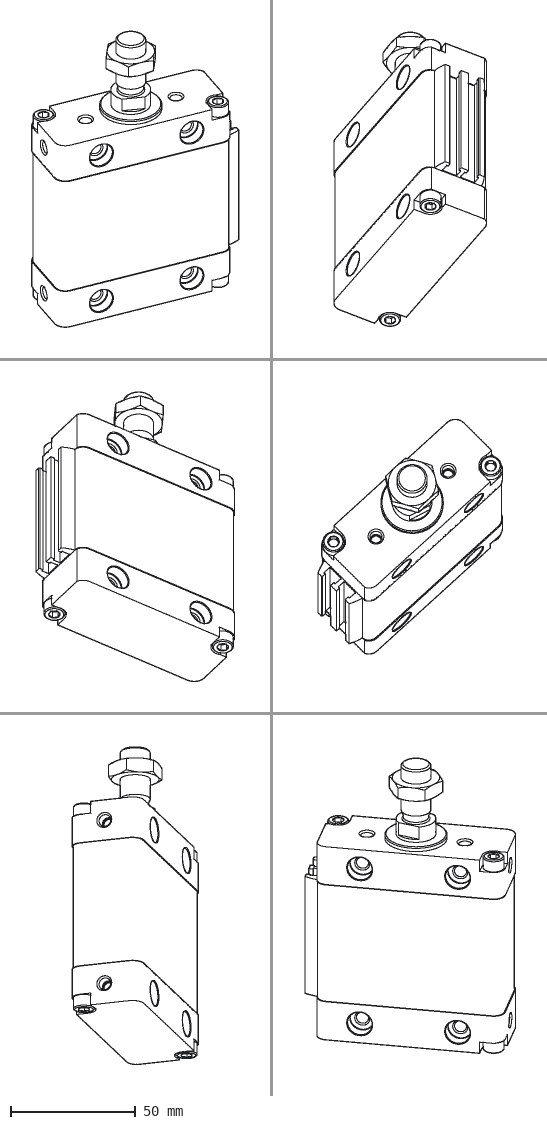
import cadquery as cq
import math

TOTAL_HEIGHT = 119.0

CAP_WIDTH = 30.0
CAP_LENGTH = 77.0
CAP_TRIM = 0.5
CAP_HEIGHT = 17.0
CORNER_RADIUS = 4.8

TUBE_HEIGHT = 52.0
TUBE_INSET = 0.42
BODY_TOP = 2 * CAP_HEIGHT + TUBE_HEIGHT
TUBE_FACE_Y = CAP_LENGTH / 2 - TUBE_INSET

TOTAL_LENGTH = 82.0
RAIL_TOP_Y = TOTAL_LENGTH - CAP_LENGTH / 2
PAD_HEIGHT = 0.4
RAIL_HEIGHT = RAIL_TOP_Y - TUBE_FACE_Y
HOOK_HEIGHT = 1.8
CENTRE_STEM_WIDTH = 1.8
CENTRE_HEAD_WIDTH = 3.3
SIDE_STEM_X = 7.4
SIDE_HOOK_X = 6.7
SIDE_TOP_X = 9.0
SIDE_BASE_X = 11.0
SIDE_BULGE = 0.18
SIDE_HOOK_CHAMFER = 0.4

SCREW_HEAD_DIAMETER = 8.5
SCREW_HEAD_CHAMFER = 0.5
SCREW_RECESS_DEPTH = 5.0
SCREW_RECESS_DIAMETER = 9.5
SCREW_RECESS_WALL_X = 4.4
SOCKET_ACROSS_FLATS = 4.0
SOCKET_DEPTH = 3.0
SOCKET_ANGLE = -15.0
SOCKET_CONE_HEIGHT = 1.2
SOCKET_CHAMFER_DIAMETER = 4.5
SOCKET_CHAMFER_DEPTH = 0.2

HOLE_SPACING = 40.0
THROUGH_DIAMETER = 4.9
THROUGH_CHAMFER = 0.6
COUNTERBORE_MOUTH_DIAMETER = 10.6
COUNTERBORE_DIAMETER = 10.0
COUNTERBORE_FLOOR_DIAMETER = 9.8
COUNTERBORE_CHAMFER = 0.4
COUNTERBORE_FLOOR_STEP = 0.4
COUNTERBORE_DEPTH = 5.1
THREAD_DIAMETER = 4.9
THREAD_CHAMFER = 0.7
THREAD_DEPTH = 4.8
DRILL_DIAMETER = 4.0
DRILL_DEPTH = 5.7

COLLAR_DIAMETER = 25.0
COLLAR_HEIGHT = 1.9
COLLAR_CHAMFER = 0.5

ROD_DIAMETER = 16.0
FLATS_BOTTOM = BODY_TOP + 3.2
SHOULDER_Z = BODY_TOP + 8.7
FLATS_ACROSS = 13.0
FLATS_ANGLE = -15.0
NECK_DIAMETER = 10.2
NECK_FLARE = 0.5
NECK_FLARE_HEIGHT = 0.7
NECK_HEIGHT = 1.4
NECK_BLEND = 0.1
NECK_BLEND_HEIGHT = 0.5
NECK_CONE_HEIGHT = 2.0
THREAD_ROD_DIAMETER = 12.0
ROD_TIP_CHAMFER = 0.7

NUT_ACROSS_FLATS = 19.0
NUT_HEIGHT = 6.0
NUT_TOP_GAP = 6.1
NUT_CORNER_DROP = 0.6


def rounded_block(width, length, height, radius):
    return cq.Workplane("XY").rect(width, length).extrude(height).edges("|Z").fillet(radius)


def screw_recess():
    """Corner cut around a screw head, centred on the screw with its corner toward -X, -Y."""
    radius = SCREW_RECESS_DIAMETER / 2
    outside = -2 * CORNER_RADIUS
    beside_x = (
        cq.Workplane("XY")
        .box(SCREW_RECESS_WALL_X - outside, -outside, SCREW_RECESS_DEPTH, centered=False)
        .translate((outside, outside, 0))
    )
    beside_y = (
        cq.Workplane("XY")
        .box(-outside, radius - outside, SCREW_RECESS_DEPTH, centered=False)
        .translate((outside, outside, 0))
    )
    return cq.Workplane("XY").circle(radius).extrude(SCREW_RECESS_DEPTH).union(beside_x).union(beside_y)


def screw_head():
    """Cylindrical head with a hexagon socket that ends in a cone."""
    socket_floor = SCREW_RECESS_DEPTH - SOCKET_DEPTH
    socket_corners = SOCKET_ACROSS_FLATS / math.cos(math.pi / 6)
    hexagon = (
        cq.Workplane("XY")
        .workplane(offset=socket_floor)
        .polygon(6, socket_corners)
        .extrude(SOCKET_DEPTH)
        .rotate((0, 0, 0), (0, 0, 1), SOCKET_ANGLE)
    )
    cone = (
        cq.Workplane(cq.Solid.makeCone(0, SOCKET_ACROSS_FLATS / 2, SOCKET_CONE_HEIGHT))
        .translate((0, 0, socket_floor - SOCKET_CONE_HEIGHT))
    )
    mouth = (
        cq.Workplane(cq.Solid.makeCone(
            SOCKET_ACROSS_FLATS / 2, SOCKET_CHAMFER_DIAMETER / 2, SOCKET_CHAMFER_DEPTH))
        .translate((0, 0, SCREW_RECESS_DEPTH - SOCKET_CHAMFER_DEPTH))
    )
    return (
        cq.Workplane("XY")
        .circle(SCREW_HEAD_DIAMETER / 2)
        .extrude(SCREW_RECESS_DEPTH)
        .faces(">Z")
        .chamfer(SCREW_HEAD_CHAMFER)
        .cut(hexagon)
        .cut(cone)
        .cut(mouth)
    )


def revolved_cutter(profile):
    """Turn (radius, depth) points about the Z axis; depth runs toward -Z from the mouth at Z = 0."""
    points = [(radius, -depth) for radius, depth in profile]
    return cq.Workplane("XZ").polyline([(0, 0), *points]).close().revolve(360, (0, 0), (0, 1))


def threaded_hole():
    thread = THREAD_DIAMETER / 2
    drill = DRILL_DIAMETER / 2
    return revolved_cutter([
        (thread + THREAD_CHAMFER, 0),
        (thread, THREAD_CHAMFER),
        (thread, THREAD_DEPTH),
        (drill, THREAD_DEPTH),
        (drill, DRILL_DEPTH),
        (0, DRILL_DEPTH),
    ])


def mounting_hole_half():
    """One side of a mounting hole, from the cap face to the middle of the cap."""
    bore = COUNTERBORE_DIAMETER / 2
    floor = COUNTERBORE_FLOOR_DIAMETER / 2
    through = THROUGH_DIAMETER / 2
    return revolved_cutter([
        (COUNTERBORE_MOUTH_DIAMETER / 2, 0),
        (bore, COUNTERBORE_CHAMFER),
        (bore, COUNTERBORE_DEPTH - COUNTERBORE_FLOOR_STEP),
        (floor, COUNTERBORE_DEPTH - COUNTERBORE_FLOOR_STEP),
        (floor, COUNTERBORE_DEPTH),
        (through + THROUGH_CHAMFER, COUNTERBORE_DEPTH),
        (through, COUNTERBORE_DEPTH + THROUGH_CHAMFER),
        (through, CAP_WIDTH / 2),
        (0, CAP_WIDTH / 2),
    ])


def make_cap():
    """Cap with its outer end up: screw heads in two corners, mounting holes and a port."""
    cap = rounded_block(CAP_WIDTH, CAP_LENGTH, CAP_HEIGHT, CORNER_RADIUS)
    trim_y = CAP_LENGTH / 2 - CAP_TRIM
    cap = cap.cut(
        cq.Workplane("XY")
        .box(CAP_WIDTH, CAP_TRIM, CAP_HEIGHT, centered=(True, False, False))
        .translate((0, trim_y, 0))
    )

    screw_position = (
        CORNER_RADIUS - CAP_WIDTH / 2,
        CORNER_RADIUS - CAP_LENGTH / 2,
        CAP_HEIGHT - SCREW_RECESS_DEPTH,
    )
    for turn in (0, 180):
        cap = cap.cut(screw_recess().translate(screw_position).rotate((0, 0, 0), (0, 0, 1), turn))
        cap = cap.union(screw_head().translate(screw_position).rotate((0, 0, 0), (0, 0, 1), turn))

    for side in (-1, 1):
        half = mounting_hole_half().rotate((0, 0, 0), (0, 1, 0), side * 90)
        for y in (-HOLE_SPACING / 2, HOLE_SPACING / 2):
            cap = cap.cut(half.translate((side * CAP_WIDTH / 2, y, CAP_HEIGHT / 2)))

    port = threaded_hole().rotate((0, 0, 0), (1, 0, 0), 90)
    return cap.cut(port.translate((0, -CAP_LENGTH / 2, CAP_HEIGHT / 2)))


def make_head_cap():
    return make_cap().mirror("XY").translate((0, 0, CAP_HEIGHT))


def make_rod_cap():
    """Upper cap with the collar, the rod bore and two threaded holes in its top."""
    collar = (
        cq.Workplane("XY")
        .workplane(offset=CAP_HEIGHT)
        .circle(COLLAR_DIAMETER / 2)
        .extrude(COLLAR_HEIGHT)
        .faces(">Z")
        .chamfer(COLLAR_CHAMFER)
    )
    bore = cq.Workplane("XY").circle(ROD_DIAMETER / 2).extrude(CAP_HEIGHT + COLLAR_HEIGHT)
    cap = make_cap().union(collar).cut(bore)
    for y in (-HOLE_SPACING / 2, HOLE_SPACING / 2):
        cap = cap.cut(threaded_hole().translate((0, y, CAP_HEIGHT)))
    return cap.translate((0, 0, CAP_HEIGHT + TUBE_HEIGHT))


def centre_rail():
    """T-shaped rail with its foot sunk in the tube."""
    stem = cq.Workplane("XY").rect(CENTRE_STEM_WIDTH, 2 * RAIL_HEIGHT).extrude(TUBE_HEIGHT)
    head = (
        cq.Workplane("XY")
        .center(0, RAIL_HEIGHT - HOOK_HEIGHT / 2)
        .rect(CENTRE_HEAD_WIDTH, HOOK_HEIGHT)
        .extrude(TUBE_HEIGHT)
    )
    return stem.union(head).translate((0, TUBE_FACE_Y, 0))


def side_rail():
    """Rail on the +X side, hooked inward, with a bowed outer flank and a foot sunk in the tube."""
    flank_middle = ((SIDE_BASE_X + SIDE_TOP_X) / 2 + SIDE_BULGE, RAIL_HEIGHT / 2)
    hook_bottom = RAIL_HEIGHT - HOOK_HEIGHT
    return (
        cq.Workplane("XY")
        .moveTo(SIDE_STEM_X, -CORNER_RADIUS)
        .lineTo(SIDE_STEM_X, hook_bottom)
        .lineTo(SIDE_HOOK_X, hook_bottom)
        .lineTo(SIDE_HOOK_X, RAIL_HEIGHT - SIDE_HOOK_CHAMFER)
        .lineTo(SIDE_HOOK_X + SIDE_HOOK_CHAMFER, RAIL_HEIGHT)
        .lineTo(SIDE_TOP_X, RAIL_HEIGHT)
        .threePointArc(flank_middle, (SIDE_BASE_X, 0))
        .lineTo(SIDE_BASE_X, -CORNER_RADIUS)
        .close()
        .extrude(TUBE_HEIGHT)
        .translate((0, TUBE_FACE_Y, 0))
    )


def rail_pad():
    """Low pad between the side rails, half sunk in the tube."""
    return (
        cq.Workplane("XY")
        .rect(2 * SIDE_STEM_X, 2 * PAD_HEIGHT)
        .extrude(TUBE_HEIGHT)
        .translate((0, TUBE_FACE_Y, 0))
    )


def make_tube():
    tube = rounded_block(
        CAP_WIDTH - 2 * TUBE_INSET,
        CAP_LENGTH - 2 * TUBE_INSET,
        TUBE_HEIGHT,
        CORNER_RADIUS - TUBE_INSET,
    )
    tube = tube.union(rail_pad()).union(centre_rail()).union(side_rail()).union(side_rail().mirror("YZ"))
    return tube.translate((0, 0, CAP_HEIGHT))


def make_rod():
    """Turned rod with a threaded end, cut by a pair of wrench flats."""
    shank = ROD_DIAMETER / 2
    neck = NECK_DIAMETER / 2
    thread = THREAD_ROD_DIAMETER / 2
    neck_top = SHOULDER_Z + NECK_HEIGHT
    cone_bottom = neck_top + NECK_BLEND_HEIGHT
    rod_bottom = CAP_HEIGHT + TUBE_HEIGHT
    rod = (
        cq.Workplane("XZ")
        .polyline([
            (0, rod_bottom),
            (shank, rod_bottom),
            (shank, SHOULDER_Z),
            (neck + NECK_FLARE, SHOULDER_Z),
            (neck, SHOULDER_Z + NECK_FLARE_HEIGHT),
            (neck, neck_top),
            (neck + NECK_BLEND, cone_bottom),
            (thread, cone_bottom + NECK_CONE_HEIGHT),
            (thread, TOTAL_HEIGHT - ROD_TIP_CHAMFER),
            (thread - ROD_TIP_CHAMFER, TOTAL_HEIGHT),
            (0, TOTAL_HEIGHT),
        ])
        .close()
        .revolve(360, (0, 0), (0, 1))
    )
    flats_height = SHOULDER_Z - FLATS_BOTTOM
    flats_level = cq.Workplane("XY").workplane(offset=FLATS_BOTTOM)
    kept_core = flats_level.rect(FLATS_ACROSS, 2 * ROD_DIAMETER).extrude(flats_height)
    flats = (
        flats_level.circle(ROD_DIAMETER)
        .extrude(flats_height)
        .cut(kept_core)
        .rotate((0, 0, 0), (0, 0, 1), FLATS_ANGLE)
    )
    return rod.cut(flats)


def make_nut():
    """Hexagon nut, corners on the Y axis, chamfered at both ends."""
    flat_radius = NUT_ACROSS_FLATS / 2
    corner_radius = flat_radius / math.cos(math.pi / 6)
    chamfer_envelope = (
        cq.Workplane("XZ")
        .polyline([
            (0, 0),
            (flat_radius, 0),
            (corner_radius, NUT_CORNER_DROP),
            (corner_radius, NUT_HEIGHT - NUT_CORNER_DROP),
            (flat_radius, NUT_HEIGHT),
            (0, NUT_HEIGHT),
        ])
        .close()
        .revolve(360, (0, 0), (0, 1))
    )
    return (
        cq.Workplane("XY")
        .polygon(6, 2 * corner_radius)
        .extrude(NUT_HEIGHT)
        .rotate((0, 0, 0), (0, 0, 1), 90)
        .intersect(chamfer_envelope)
        .cut(cq.Workplane("XY").circle(THREAD_ROD_DIAMETER / 2).extrude(NUT_HEIGHT))
        .translate((0, 0, TOTAL_HEIGHT - NUT_TOP_GAP - NUT_HEIGHT))
    )


head_cap = make_head_cap()
tube = make_tube()
rod_cap = make_rod_cap()
rod = make_rod()
nut = make_nut()

result = cq.Compound.makeCompound([
    head_cap.val(),
    tube.val(),
    rod_cap.val(),
    rod.val(),
    nut.val(),
])